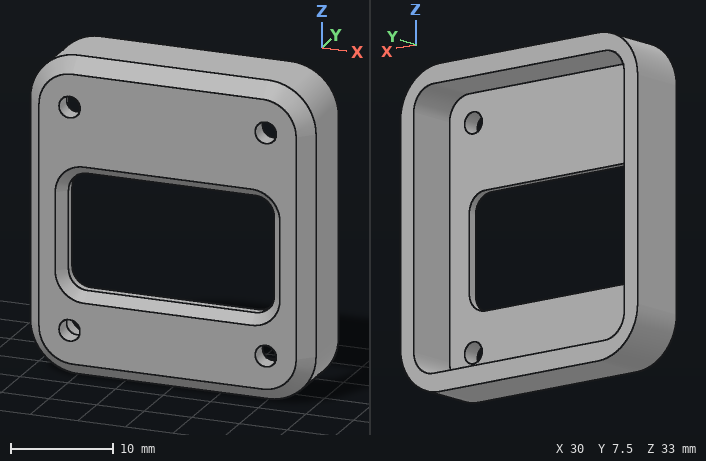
import cadquery as cq

cover_width = 30.0
cover_height = 33.0
cover_depth = 7.5
cover_corner_radius = 5.0
cover_chamfer = 1.5

hole_diameter = 2.2
hole_spacing_x = 20.6
hole_spacing_z = 23.1

front_wall = 2.0
hole_margin = 3.0
cavity_width = hole_spacing_x + 2 * hole_margin
cavity_height = hole_spacing_z + 2 * hole_margin
cavity_depth = cover_depth - front_wall
cavity_corner_radius = 2.5

window_width = 21.6
window_height = 12.1
window_corner_radius = 2.0
window_chamfer = 1.0
window_center_z = -1.5

front_y = -cover_depth / 2
wall_back_y = front_y + front_wall


def rounded_block(width, height, depth, corner_radius, start_y):
    """Block centred on the Y axis, rounded at its corners, reaching from start_y toward +Y."""
    block = cq.Workplane("XY").box(width, depth, height, centered=(True, False, True))
    return block.edges("|Y").fillet(corner_radius).translate((0, start_y, 0))


def make_body():
    body = rounded_block(cover_width, cover_height, cover_depth, cover_corner_radius, front_y)
    return body.faces("<Y").chamfer(cover_chamfer)


def cut_cavity(cover):
    cavity = rounded_block(cavity_width, cavity_height, cavity_depth, cavity_corner_radius, wall_back_y)
    return cover.cut(cavity)


def cut_window(cover):
    opening = rounded_block(window_width, window_height, front_wall, window_corner_radius, front_y)
    cover = cover.cut(opening.translate((0, 0, window_center_z)))
    window_rim = cover.faces("<Y").wires().item(1)
    return window_rim.chamfer(window_chamfer)


def cut_screw_holes(cover):
    return (
        cover.faces("<Y")
        .workplane(origin=(0, front_y, 0))
        .rarray(hole_spacing_x, hole_spacing_z, 2, 2)
        .hole(hole_diameter, front_wall)
    )


cover = make_body()
cover = cut_cavity(cover)
cover = cut_window(cover)
result = cut_screw_holes(cover)